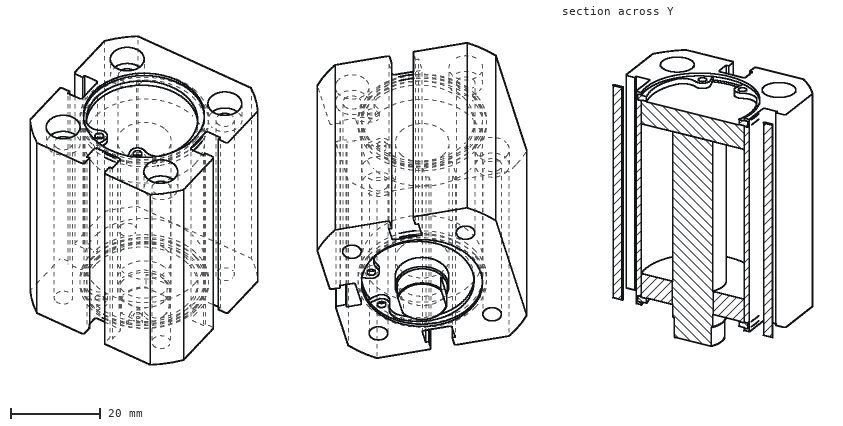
import cadquery as cq
import math


side = 41.0
overall_height = 59.0
body_height = 53.0
corner_radius = 25.5
bore_radius = 13.5

bolt_offset = 13.05
bolt_radius = 2.05
counterbore_radius = 3.8
counterbore_depth = 5.0

slot_mouth_width = 5.35
slot_inner_width = 6.8
slot_lip_depth = 2.4
slot_corner_radius = 0.5
side_slot_floor = 14.5
front_slot_floor = 14.6

ring_inset = 0.7
ring_thickness = 1.3
ring_bottoms = (ring_inset, body_height - ring_inset - ring_thickness)
groove_radius = 14.4
ring_inner_radius = 12.45
ring_inner_shift = 0.8
ear_x = 5.15
ear_y = -10.45
ear_radius = 1.8
ear_hole_radius = 0.95
ear_blend_radius = 3.3

cover_inset = ring_inset + ring_thickness
cover_thickness = 5.9

rod_radius = 6.0
rod_projection = overall_height - body_height
rod_shoulder_drop = 0.95
rod_shoulder_height = 0.35
rod_end_radius = 11.4 / 2
rod_end_chamfer = 0.2
flat_distance = 10.0 / 2


def slot_cutter(floor_distance):
    """T-slot open towards -Y, running the full height, with rounded mouth and floor corners."""
    half_side = side / 2
    slot_depth = half_side - floor_distance
    inner_depth = slot_depth - slot_lip_depth
    mouth = (
        cq.Workplane("XY")
        .center(0, -half_side + slot_depth / 2)
        .rect(slot_mouth_width, slot_depth)
        .extrude(body_height)
    )
    chamber = (
        cq.Workplane("XY")
        .center(0, -floor_distance - inner_depth / 2)
        .rect(slot_inner_width, inner_depth)
        .extrude(body_height)
        .edges("|Z and >Y")
        .fillet(slot_corner_radius)
    )
    cutter = mouth.union(chamber)
    flare_x = slot_mouth_width / 2
    for sign in (-1, 1):
        flare = (
            cq.Workplane("XY")
            .moveTo(sign * flare_x, -half_side)
            .lineTo(sign * (flare_x + slot_corner_radius), -half_side)
            .radiusArc((sign * flare_x, -half_side + slot_corner_radius), sign * slot_corner_radius)
            .close()
            .extrude(body_height)
        )
        cutter = cutter.union(flare)
    return cutter


def make_housing():
    """Rounded square block with a through bore, two ring grooves, bolt holes and three T-slots."""
    block = cq.Workplane("XY").rect(side, side).extrude(body_height)
    housing = block.intersect(cq.Workplane("XY").circle(corner_radius).extrude(body_height))
    housing = housing.faces(">Z").workplane().circle(bore_radius).cutThruAll()
    housing = (
        housing.faces(">Z")
        .workplane(origin=(0, 0, body_height))
        .rect(2 * bolt_offset, 2 * bolt_offset, forConstruction=True)
        .vertices()
        .cboreHole(2 * bolt_radius, 2 * counterbore_radius, counterbore_depth)
    )
    for turn, floor_distance in ((-90, side_slot_floor), (0, front_slot_floor), (90, side_slot_floor)):
        housing = housing.cut(slot_cutter(floor_distance).rotate((0, 0, 0), (0, 0, 1), turn))
    for ring_z in ring_bottoms:
        groove = cq.Workplane("XY", origin=(0, 0, ring_z)).circle(groove_radius).extrude(ring_thickness)
        housing = housing.cut(groove)
    return housing


def polar_point(radius, angle):
    """Point at an angle measured from -Y towards +X."""
    return (radius * math.sin(angle), -radius * math.cos(angle))


def make_retaining_ring(bottom_z):
    """Tapered snap ring with a gap at -Y and a plier ear on each side of the gap."""
    ear_distance = math.hypot(ear_x, ear_y)
    ear_angle = math.atan2(ear_x, -ear_y)
    gap_angle = ear_angle - math.asin(ear_radius / ear_distance)
    tangent_distance = math.sqrt(ear_distance**2 - ear_radius**2)
    beyond = 2 * groove_radius

    plane = cq.Workplane("XY", origin=(0, 0, bottom_z))
    disc = plane.circle(groove_radius).extrude(ring_thickness)
    opening = plane.center(0, -ring_inner_shift).circle(ring_inner_radius).extrude(ring_thickness)
    gap = (
        plane.polyline([(0, 0), polar_point(beyond, -gap_angle), polar_point(beyond, gap_angle)])
        .close()
        .extrude(ring_thickness)
    )
    ring = disc.cut(opening).cut(gap)

    for sign in (-1, 1):
        ear = plane.center(sign * ear_x, ear_y).circle(ear_radius).extrude(ring_thickness)
        ear_root = (
            plane.polyline([
                (sign * ear_x, ear_y),
                polar_point(tangent_distance, sign * gap_angle),
                polar_point(beyond, sign * gap_angle),
                polar_point(beyond, sign * ear_angle),
            ])
            .close()
            .extrude(ring_thickness)
            .intersect(disc)
        )
        ring = ring.union(ear).union(ear_root)

    centre_dx = ear_x
    centre_dy = ear_y + ring_inner_shift
    centre_distance = math.hypot(centre_dx, centre_dy)
    squared_sides = ring_inner_radius**2 + centre_distance**2 - ear_radius**2
    half_spread = math.acos(squared_sides / (2 * ring_inner_radius * centre_distance))
    crossing_angle = math.atan2(centre_dx, -centre_dy) + half_spread
    crossing_x, crossing_y = polar_point(ring_inner_radius, crossing_angle)
    crossing_y -= ring_inner_shift
    for sign in (-1, 1):
        corner = (sign * crossing_x, crossing_y, bottom_z + ring_thickness / 2)
        ring = ring.edges(cq.selectors.NearestToPointSelector(corner)).fillet(ear_blend_radius)

    ear_holes = (
        plane.pushPoints([(-ear_x, ear_y), (ear_x, ear_y)])
        .circle(ear_hole_radius)
        .extrude(ring_thickness)
    )
    return ring.cut(ear_holes)


def make_head_cover():
    """Plain disc that closes the top of the bore, held by the upper ring."""
    bottom_z = body_height - cover_inset - cover_thickness
    return cq.Workplane("XY", origin=(0, 0, bottom_z)).circle(bore_radius).extrude(cover_thickness)


def make_rod_cover():
    """Disc at the bottom of the bore, held by the lower ring, with a hole that guides the rod."""
    return (
        cq.Workplane("XY", origin=(0, 0, cover_inset))
        .circle(bore_radius)
        .circle(rod_radius)
        .extrude(cover_thickness)
    )


def make_rod():
    """Rod from the head cover down, with a reduced end that carries two wrench flats on the Y sides."""
    top_z = body_height - cover_inset - cover_thickness
    neck_z = -rod_shoulder_drop - rod_shoulder_height
    rod = (
        cq.Workplane("XZ")
        .polyline([
            (0, top_z),
            (rod_radius, top_z),
            (rod_radius, -rod_shoulder_drop),
            (rod_end_radius, neck_z),
            (rod_end_radius, -rod_projection + rod_end_chamfer),
            (rod_end_radius - rod_end_chamfer, -rod_projection),
            (0, -rod_projection),
        ])
        .close()
        .revolve(360, (0, 0, 0), (0, 1, 0))
    )
    flat_top_z = neck_z - (rod_end_radius - flat_distance)
    for sign in (-1, 1):
        flat_cut = (
            cq.Workplane("YZ")
            .polyline([
                (sign * flat_distance, -rod_projection),
                (sign * flat_distance, flat_top_z),
                (sign * rod_end_radius, neck_z),
                (sign * rod_radius, neck_z),
                (sign * rod_radius, -rod_projection),
            ])
            .close()
            .extrude(rod_radius, both=True)
        )
        rod = rod.cut(flat_cut)
    return rod


housing = make_housing()
retaining_rings = [make_retaining_ring(ring_z) for ring_z in ring_bottoms]
head_cover = make_head_cover()
rod_cover = make_rod_cover()
rod = make_rod()

result = cq.Compound.makeCompound([
    housing.val(),
    *[ring.val() for ring in retaining_rings],
    head_cover.val(),
    rod_cover.val(),
    rod.val(),
])